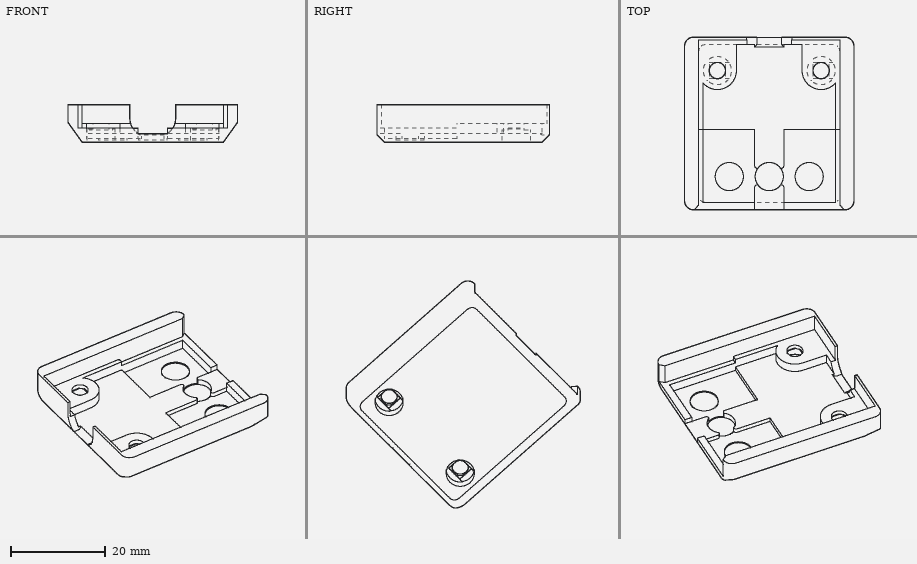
import cadquery as cq
import math

WIDTH = 36.0
LENGTH = 36.7
HEIGHT = 8.0
SIDE_BEVEL_WIDTH = 3.0
SIDE_BEVEL_HEIGHT = 4.22
END_BEVEL_WIDTH = 1.6
END_BEVEL_HEIGHT = 1.6
CORNER_RADIUS = 2.0
BEVEL_RIM_RADIUS = 0.4

RECESS_FLOOR = 0.5
POCKET_FLOOR = 0.8
MAIN_FLOOR = 1.85
FRONT_LEDGE = 3.0
BACK_LEDGE = 4.05

CAVITY_HALF_WIDTH = 15.05
BACK_WALL = 0.6
LEDGE_STEP_Y = -1.3
FLOOR_HALF_WIDTH = 14.02
FLOOR_HALF_LENGTH = 16.75
MOUTH_FLARE_WIDTH = 0.85
MOUTH_FLARE_LENGTH = 1.0

BOSS_X = 11.0
BOSS_Y = 11.23
BOSS_RADIUS = 4.05
HOLE_DIAMETER = 3.4
HEAD_DIAMETER = 6.0
HEAD_DEPTH = 2.6
BRIDGE_STEP = 0.202

CHANNEL_HALF_WIDTH = 3.1
RECESS_DIAMETER = 6.0
RECESS_SPACING = 8.48
RECESS_Y = -11.25
PASSAGE_LENGTH = 3.5
PASSAGE_CORNER_RADIUS = 0.5

NOTCH_HALF_WIDTH = 4.85
NOTCH_FLOOR = 1.55
NOTCH_ARC_RADIUS = 4.0
NOTCH_ARC_Z = 5.15
NOTCH_END_RADIUS = 1.25
NOTCH_FLAT_END_Y = 17.05


def box(x_min, x_max, y_min, y_max, z_min, z_max):
    size = (x_max - x_min, y_max - y_min, z_max - z_min)
    return cq.Workplane("XY").box(*size, centered=False).translate((x_min, y_min, z_min))


def beveled_shell():
    """Rounded block whose four lower sides slope in towards the bottom."""
    block = box(-WIDTH / 2, WIDTH / 2, -LENGTH / 2, LENGTH / 2, 0, HEIGHT)
    block = block.edges("|Z").fillet(CORNER_RADIUS)

    bottom_width = WIDTH - 2 * SIDE_BEVEL_WIDTH
    bottom_length = LENGTH - 2 * END_BEVEL_WIDTH
    top_width = bottom_width + 2 * HEIGHT * SIDE_BEVEL_WIDTH / SIDE_BEVEL_HEIGHT
    top_length = bottom_length + 2 * HEIGHT * END_BEVEL_WIDTH / END_BEVEL_HEIGHT
    funnel = (
        cq.Workplane("XY")
        .rect(bottom_width, bottom_length)
        .workplane(offset=HEIGHT)
        .rect(top_width, top_length)
        .loft(ruled=True)
    )
    funnel = funnel.edges("not(#Z)").fillet(CORNER_RADIUS)
    shell = block.intersect(funnel)
    return shell.faces("<X").edges("<Z").fillet(BEVEL_RIM_RADIUS)


def main_cavity():
    """Space above the two ledges, open at the front with a flared mouth."""
    back_y = LENGTH / 2 - BACK_WALL
    front_y = -LENGTH / 2
    back_space = box(-CAVITY_HALF_WIDTH, CAVITY_HALF_WIDTH, LEDGE_STEP_Y, back_y, BACK_LEDGE, HEIGHT)
    flare_half_width = CAVITY_HALF_WIDTH + MOUTH_FLARE_WIDTH
    flare_start_y = front_y + MOUTH_FLARE_LENGTH
    front_outline = [
        (-CAVITY_HALF_WIDTH, LEDGE_STEP_Y),
        (-CAVITY_HALF_WIDTH, flare_start_y),
        (-flare_half_width, front_y),
        (flare_half_width, front_y),
        (CAVITY_HALF_WIDTH, flare_start_y),
        (CAVITY_HALF_WIDTH, LEDGE_STEP_Y),
    ]
    front_space = (
        cq.Workplane("XY")
        .workplane(offset=FRONT_LEDGE)
        .polyline(front_outline)
        .close()
        .extrude(HEIGHT - FRONT_LEDGE)
    )
    return back_space.union(front_space)


def floor_well():
    """Well down to the main floor, leaving a screw boss in each back corner."""
    well = box(
        -FLOOR_HALF_WIDTH, FLOOR_HALF_WIDTH,
        -FLOOR_HALF_LENGTH, FLOOR_HALF_LENGTH,
        MAIN_FLOOR, BACK_LEDGE,
    )
    boss_height = BACK_LEDGE - MAIN_FLOOR
    for side in (-1, 1):
        post = (
            cq.Workplane("XY")
            .workplane(offset=MAIN_FLOOR)
            .center(side * BOSS_X, BOSS_Y)
            .circle(BOSS_RADIUS)
            .extrude(boss_height)
        )
        web = box(-BOSS_RADIUS, BOSS_RADIUS, 0, LENGTH / 2 - BOSS_Y, 0, boss_height)
        web = web.translate((side * BOSS_X, BOSS_Y, MAIN_FLOOR))
        well = well.cut(post).cut(web)
    return well


def front_pockets():
    """Two pockets beside the centre strip, joined by a passage that cuts the strip."""
    pockets = box(
        -FLOOR_HALF_WIDTH, FLOOR_HALF_WIDTH,
        -FLOOR_HALF_LENGTH, LEDGE_STEP_Y,
        POCKET_FLOOR, MAIN_FLOOR,
    )
    passage_back = RECESS_Y + PASSAGE_LENGTH / 2
    passage_front = RECESS_Y - PASSAGE_LENGTH / 2
    strip_back = box(
        -CHANNEL_HALF_WIDTH, CHANNEL_HALF_WIDTH,
        passage_back, LEDGE_STEP_Y,
        POCKET_FLOOR, MAIN_FLOOR,
    )
    strip_front = box(
        -CHANNEL_HALF_WIDTH, CHANNEL_HALF_WIDTH,
        -FLOOR_HALF_LENGTH, passage_front,
        POCKET_FLOOR, MAIN_FLOOR,
    )
    strip_back = strip_back.faces("<Y").edges("|Z").fillet(PASSAGE_CORNER_RADIUS)
    strip_front = strip_front.faces(">Y").edges("|Z").fillet(PASSAGE_CORNER_RADIUS)
    return pockets.cut(strip_back).cut(strip_front)


def round_recesses():
    """Row of three shallow round recesses near the front."""
    centres = [(i * RECESS_SPACING, RECESS_Y) for i in (-1, 0, 1)]
    return (
        cq.Workplane("XY")
        .workplane(offset=RECESS_FLOOR)
        .pushPoints(centres)
        .circle(RECESS_DIAMETER / 2)
        .extrude(MAIN_FLOOR - RECESS_FLOOR)
    )


def front_channel():
    """Slot through the low front wall, level with the main floor."""
    return box(
        -CHANNEL_HALF_WIDTH, CHANNEL_HALF_WIDTH,
        -LENGTH / 2, -FLOOR_HALF_LENGTH,
        MAIN_FLOOR, FRONT_LEDGE,
    )


def screw_hole():
    """Screw hole, counterbored below, with a slot and a square step in between."""
    half_hole = HOLE_DIAMETER / 2
    slot_top = HEAD_DEPTH + BRIDGE_STEP
    square_top = slot_top + BRIDGE_STEP
    hole = cq.Workplane("XY").circle(half_hole).extrude(HEIGHT)
    head = cq.Workplane("XY").circle(HEAD_DIAMETER / 2).extrude(slot_top)
    slot_side = box(-HEAD_DIAMETER, HEAD_DIAMETER, half_hole, HEAD_DIAMETER, HEAD_DEPTH, slot_top)
    head = head.cut(slot_side).cut(slot_side.mirror("XZ"))
    square = box(-half_hole, half_hole, -half_hole, half_hole, HEAD_DEPTH, square_top)
    return hole.union(head).union(square)


def cable_notch():
    """Notch through the back wall with curved lower sides and a floor that sweeps up inside."""
    arc_centre_x = NOTCH_HALF_WIDTH - NOTCH_ARC_RADIUS
    floor_angle = math.asin((NOTCH_ARC_Z - NOTCH_FLOOR) / NOTCH_ARC_RADIUS)
    floor_half_width = arc_centre_x + NOTCH_ARC_RADIUS * math.cos(floor_angle)
    mid_x = arc_centre_x + NOTCH_ARC_RADIUS * math.cos(floor_angle / 2)
    mid_z = NOTCH_ARC_Z - NOTCH_ARC_RADIUS * math.sin(floor_angle / 2)
    outer_y = LENGTH / 2
    inner_y = NOTCH_FLAT_END_Y - NOTCH_END_RADIUS
    notch = (
        cq.Workplane("XZ", origin=(0, outer_y, 0))
        .moveTo(-NOTCH_HALF_WIDTH, HEIGHT)
        .lineTo(-NOTCH_HALF_WIDTH, NOTCH_ARC_Z)
        .threePointArc((-mid_x, mid_z), (-floor_half_width, NOTCH_FLOOR))
        .lineTo(floor_half_width, NOTCH_FLOOR)
        .threePointArc((mid_x, mid_z), (NOTCH_HALF_WIDTH, NOTCH_ARC_Z))
        .lineTo(NOTCH_HALF_WIDTH, HEIGHT)
        .close()
        .extrude(outer_y - inner_y)
    )
    return notch.intersect(
        box(-WIDTH, WIDTH, inner_y, outer_y, NOTCH_FLOOR, HEIGHT)
        .edges("<Y and <Z")
        .fillet(NOTCH_END_RADIUS)
    )


result = beveled_shell()
for opening in (
    main_cavity(),
    floor_well(),
    front_pockets(),
    round_recesses(),
    front_channel(),
    screw_hole().translate((-BOSS_X, BOSS_Y, 0)),
    screw_hole().translate((BOSS_X, BOSS_Y, 0)),
    cable_notch(),
):
    result = result.cut(opening)